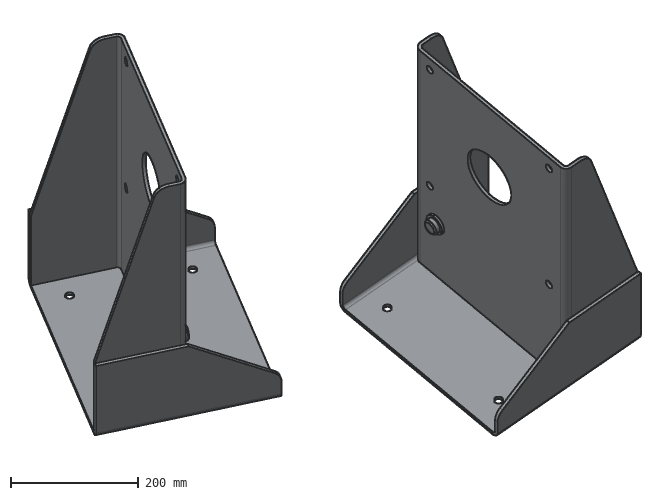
import cadquery as cq
import math

width = 368.5
depth = 305.0
height = 514.5
sheet = 6.0
bend_inner = 6.0
bend_outer = bend_inner + sheet
profile_radius = 25.0

wall_height = 159.5
wall_rear_height = 52.5

upright_width = 353.0
upright_offset = width / 2 - sheet - upright_width / 2
panel_rear = 152.0
upright_top_front = 102.5

mount_diameter = 14.5
floor_hole_spacing_x = 260.0
floor_hole_inset = 51.5
panel_offset = 3.0
panel_hole_spacing = 278.5
panel_hole_top_inset = 26.0
opening_diameter = 102.0
opening_z = 348.5

fitting_x = 126.5
fitting_z = 132.5
flange_diameter = 36.5
flange_thickness = 4.5
boss_diameter = 27.0
boss_length = 15.0
boss_chamfer = 2.5
pin_diameter = 2.15
pin_circle_radius = 16.0
pin_count = 3
pin_start_angle = 75


def side_profile(points):
    """Extrude a YZ outline across the full width of the part."""
    return cq.Workplane("YZ").polyline(points).close().extrude(width / 2, both=True)


def rear_cylinder(x, z, diameter, start_y, length):
    """Cylinder running toward +Y from start_y."""
    plane = cq.Plane(origin=(x, start_y, z), xDir=(1, 0, 0), normal=(0, 1, 0))
    return cq.Workplane(plane).circle(diameter / 2).extrude(length)


def make_base():
    outer = cq.Workplane("XY").box(width, depth, wall_height, centered=(True, False, False))
    outer = outer.edges("|Y and <Z").fillet(bend_outer)
    inner = cq.Workplane("XY").workplane(offset=sheet)
    inner = inner.box(width - 2 * sheet, depth, wall_height, centered=(True, False, False))
    inner = inner.edges("|Y and <Z").fillet(bend_inner)
    profile = side_profile([
        (0, 0),
        (depth, 0),
        (depth, wall_rear_height),
        (panel_rear, wall_height),
        (0, wall_height),
    ])
    profile = profile.edges(cq.selectors.NearestToPointSelector((0, depth, wall_rear_height)))
    return outer.cut(inner).intersect(profile.fillet(profile_radius))


def make_upright():
    upright_height = height - sheet
    floor_top = cq.Workplane("XY").workplane(offset=sheet).center(upright_offset, 0)
    outer = floor_top.box(upright_width, panel_rear, upright_height, centered=(True, False, False))
    outer = outer.edges("|Z and >Y").fillet(bend_outer)
    inner = floor_top.box(
        upright_width - 2 * sheet, panel_rear - sheet, upright_height, centered=(True, False, False)
    )
    inner = inner.edges("|Z and >Y").fillet(bend_inner)
    profile = side_profile([
        (0, 0),
        (panel_rear, 0),
        (panel_rear, height),
        (upright_top_front, height),
        (0, wall_height),
    ])
    profile = profile.edges(cq.selectors.NearestToPointSelector((0, upright_top_front, height)))
    return outer.cut(inner).intersect(profile.fillet(profile_radius))


def add_fitting(body):
    flange = rear_cylinder(fitting_x, fitting_z, flange_diameter, panel_rear, flange_thickness)
    boss = rear_cylinder(fitting_x, fitting_z, boss_diameter, panel_rear, boss_length)
    return body.union(flange).union(boss.faces(">Y").chamfer(boss_chamfer))


def cut_floor_holes(body):
    spacing_y = depth - 2 * floor_hole_inset
    holes = cq.Workplane("XY").center(0, depth / 2).rect(floor_hole_spacing_x, spacing_y, forConstruction=True)
    return body.cut(holes.vertices().circle(mount_diameter / 2).extrude(sheet))


def cut_panel_holes(body):
    panel_front = panel_rear - sheet
    upper_z = height - panel_hole_top_inset
    for z in (upper_z, upper_z - panel_hole_spacing):
        for side in (-1, 1):
            x = panel_offset + side * panel_hole_spacing / 2
            body = body.cut(rear_cylinder(x, z, mount_diameter, panel_front, sheet))
    return body.cut(rear_cylinder(panel_offset, opening_z, opening_diameter, panel_front, sheet))


def cut_pin_holes(body):
    """Small holes through the panel and fitting flange."""
    for index in range(pin_count):
        angle = math.radians(pin_start_angle + index * 360 / pin_count)
        x = fitting_x + pin_circle_radius * math.cos(angle)
        z = fitting_z + pin_circle_radius * math.sin(angle)
        hole = rear_cylinder(x, z, pin_diameter, panel_rear - sheet, sheet + flange_thickness)
        body = body.cut(hole)
    return body


result = make_base().union(make_upright())
result = add_fitting(result)
result = cut_floor_holes(result)
result = cut_panel_holes(result)
result = cut_pin_holes(result)